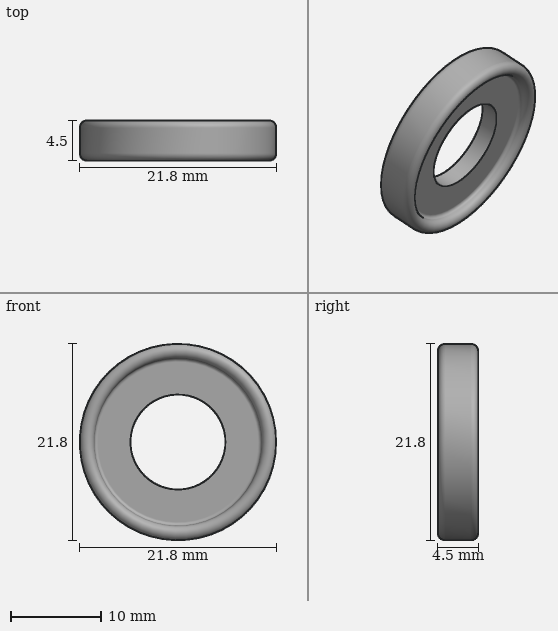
import cadquery as cq

outer_diameter = 21.8
bore_diameter = 10.5
thickness = 4.5
rim_radius = 0.8
recess_fillet = 0.4

outer_radius = outer_diameter / 2
bore_radius = bore_diameter / 2
rim_crest_radius = outer_radius - rim_radius
rim_inner_radius = outer_radius - 2 * rim_radius
web_flat_radius = rim_inner_radius - recess_fillet

half_thickness = thickness / 2
rim_spring = half_thickness - rim_radius
web_half = rim_spring - recess_fillet

fillet_inset = recess_fillet * (1 - 0.5**0.5)
fillet_mid = (rim_inner_radius - fillet_inset, web_half + fillet_inset)

section = (
    cq.Workplane("XY")
    .moveTo(bore_radius, -web_half)
    .lineTo(web_flat_radius, -web_half)
    .threePointArc((fillet_mid[0], -fillet_mid[1]), (rim_inner_radius, -rim_spring))
    .threePointArc((rim_crest_radius, -half_thickness), (outer_radius, -rim_spring))
    .lineTo(outer_radius, rim_spring)
    .threePointArc((rim_crest_radius, half_thickness), (rim_inner_radius, rim_spring))
    .threePointArc(fillet_mid, (web_flat_radius, web_half))
    .lineTo(bore_radius, web_half)
    .close()
)

result = section.revolve(360, (0, 0, 0), (0, 1, 0))